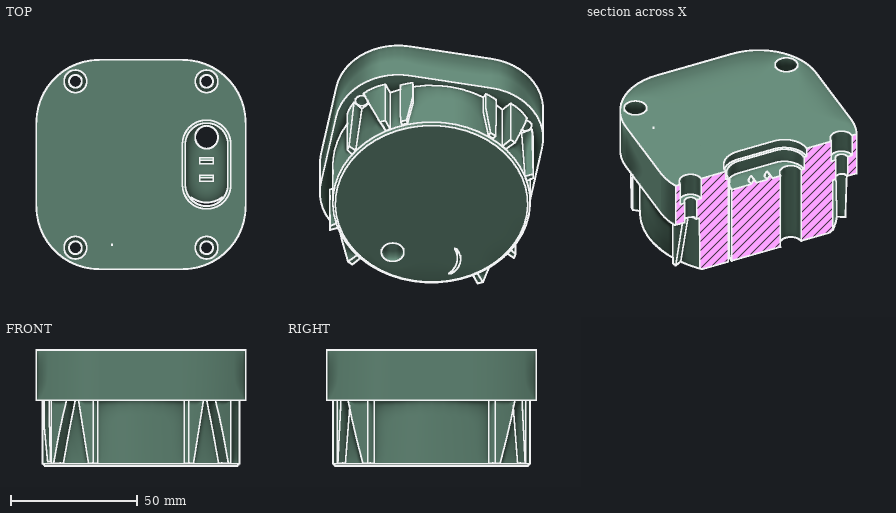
import cadquery as cq
import math

plate_side = 83.0
plate_height = 20.0
plate_corner_radius = 25.0

total_height = 46.0
drum_radius = 39.1
drum_chamfer = 1.0

boss_inset = 4.0
boss_bottom = -44.8
boss_start_angle = 35.3
boss_end_angle = 64.1
boss_end_wall_reach = 8.3
boss_end_wall_overlap = 4.15
notch_top_angles = (48.2, 55.4)
notch_bottom_angles = (38.2, 60.7)

screw_x = 26.0
screw_y = 32.95
screw_angle = math.degrees(math.atan2(screw_y, screw_x))
screw_hole_radius = 2.5
screw_head_radius = 4.5
screw_head_depth = 10.05

ear_radius = 41.1
ear_tip_radius = 40.7
ear_start_angle = 21.1
ear_tip_start_angle = 24.6
ear_end_angle = 28.1
ear_taper_top = -30.3
ear_bottom = -44.2

pocket_x = screw_x
pocket_width = 16.85
pocket_length = 32.9
pocket_depth = 10.05
rim_width = 1.2
rim_depth = 4.0

cable_hole_radius = 4.5
cable_hole_y = 10.8
crescent_radius = 10.05
crescent_gap = 1.3
crescent_width = 12.3
ridge_length = 5.4
ridge_base = 2.4
ridge_peak_offset = 1.3
ridge_height = 1.8
ridge_front_positions = (0.3, -6.6)

pinhole_x = -11.45
pinhole_y = -31.8
pinhole_radius = 0.2
pinhole_depth = 1.7

sector_inner_radius = 33.2
sector_outer_radius = 58.1


def polar(radius, angle):
    """Point at a radius and an angle in degrees."""
    return (radius * math.cos(math.radians(angle)), radius * math.sin(math.radians(angle)))


def cylinder(x, y, radius, top, bottom):
    """Upright cylinder between two heights."""
    return cq.Workplane("XY", origin=(x, y, bottom)).circle(radius).extrude(top - bottom)


def rounded_square(side, corner_radius, top, bottom):
    """Upright square block with rounded vertical edges."""
    block = cq.Workplane("XY", origin=(0, 0, bottom)).rect(side, side).extrude(top - bottom)
    return block.edges("|Z").fillet(corner_radius)


def sector_outline(angles):
    """Corners of a wedge of space between two angles, as seen from above."""
    start, end = angles
    return [
        polar(sector_inner_radius, start),
        polar(sector_outer_radius, start),
        polar(sector_outer_radius, end),
        polar(sector_inner_radius, end),
    ]


def sector(top_angles, bottom_angles, top, bottom):
    """Wedge of space whose angular span changes evenly from top to bottom."""
    return (
        cq.Workplane("XY", origin=(0, 0, bottom))
        .polyline(sector_outline(bottom_angles))
        .close()
        .workplane(offset=top - bottom)
        .polyline(sector_outline(top_angles))
        .close()
        .loft(ruled=True)
    )


def in_all_corners(shape):
    """The shape made for the +X +Y corner, mirrored into all four corners."""
    pair = shape.union(shape.mirror("YZ"))
    return pair.union(pair.mirror("XZ"))


def make_plate():
    return rounded_square(plate_side, plate_corner_radius, 0, -plate_height)


def make_drum():
    drum = cylinder(0, 0, drum_radius, -plate_height, -total_height)
    return drum.faces("<Z").edges().chamfer(drum_chamfer)


def make_bosses():
    """Corner blocks split by a notch that widens downwards and leaves two fins.

    One end wall is radial; the other runs parallel to the direction of the screw.
    """
    outline = rounded_square(
        plate_side - 2 * boss_inset, plate_corner_radius - boss_inset, -plate_height, boss_bottom
    )
    foot = cq.Vector(*polar(drum_radius, boss_end_angle))
    along_wall = cq.Vector(*polar(1.0, screw_angle))
    wall_end = foot + along_wall * boss_end_wall_reach
    wall_start = foot - along_wall * boss_end_wall_overlap
    limits = [
        polar(sector_inner_radius, boss_start_angle),
        polar(sector_outer_radius, boss_start_angle),
        (wall_end.x, wall_end.y),
        (wall_start.x, wall_start.y),
    ]
    span = (
        cq.Workplane("XY", origin=(0, 0, boss_bottom))
        .polyline(limits)
        .close()
        .extrude(-plate_height - boss_bottom)
    )
    boss = outline.intersect(span)
    notch = sector(notch_top_angles, notch_bottom_angles, -plate_height, boss_bottom)
    return in_all_corners(boss.cut(notch))


def make_ears():
    """Two ribs on the drum wall, each thinner at its foot and narrowing there on the side facing y = 0."""
    full_angles = (ear_start_angle, ear_end_angle)
    tip_angles = (ear_tip_start_angle, ear_end_angle)
    upper = sector(full_angles, full_angles, -plate_height, ear_taper_top)
    lower = sector(full_angles, tip_angles, ear_taper_top, ear_bottom)
    upper_limit = cylinder(0, 0, ear_radius, -plate_height, ear_taper_top)
    lower_limit = (
        cq.Workplane("XY", origin=(0, 0, ear_bottom))
        .circle(ear_tip_radius)
        .workplane(offset=ear_taper_top - ear_bottom)
        .circle(ear_radius)
        .loft(ruled=True)
    )
    ear = upper.intersect(upper_limit).union(lower.intersect(lower_limit)).mirror("YZ")
    return ear.union(ear.mirror("XZ"))


def make_screw_holes():
    hole = cylinder(screw_x, screw_y, screw_hole_radius, 0, -plate_height)
    head = cylinder(screw_x, screw_y, screw_head_radius, 0, -screw_head_depth)
    return in_all_corners(hole.union(head))


def oblong(margin, depth):
    """Oblong cut from the upper face, grown by a margin all round."""
    return (
        cq.Workplane("XY", origin=(pocket_x, 0, -depth))
        .slot2D(pocket_length + 2 * margin, pocket_width + 2 * margin, 90)
        .extrude(depth)
    )


def make_ridges():
    """Triangular ridges across the pocket floor."""
    ridges = cq.Workplane("XY")
    for front_y in ridge_front_positions:
        profile = [
            (front_y, -pocket_depth),
            (front_y + ridge_base, -pocket_depth),
            (front_y + ridge_peak_offset, ridge_height - pocket_depth),
        ]
        ridge = (
            cq.Workplane("YZ", origin=(pocket_x - ridge_length / 2, 0, 0))
            .polyline(profile)
            .close()
            .extrude(ridge_length)
        )
        ridges = ridges.union(ridge)
    return ridges


def make_crescent():
    """Crescent opening along the -Y end of the pocket, through the whole part."""
    crescent_y = crescent_radius + crescent_gap - pocket_length / 2
    span = (
        cq.Workplane("XY", origin=(pocket_x, -pocket_length / 4, -total_height))
        .rect(crescent_width, pocket_length / 2)
        .extrude(total_height)
    )
    inner_disc = cylinder(pocket_x, crescent_y, crescent_radius, 0, -total_height)
    return oblong(0, total_height).intersect(span).cut(inner_disc)


body = make_plate().union(make_drum()).union(make_bosses()).union(make_ears())
body = body.cut(make_screw_holes())
body = body.cut(oblong(rim_width, rim_depth)).cut(oblong(0, pocket_depth))
body = body.union(make_ridges())
body = body.cut(cylinder(pocket_x, cable_hole_y, cable_hole_radius, 0, -total_height))
body = body.cut(make_crescent())
result = body.cut(cylinder(pinhole_x, pinhole_y, pinhole_radius, 0, -pinhole_depth))